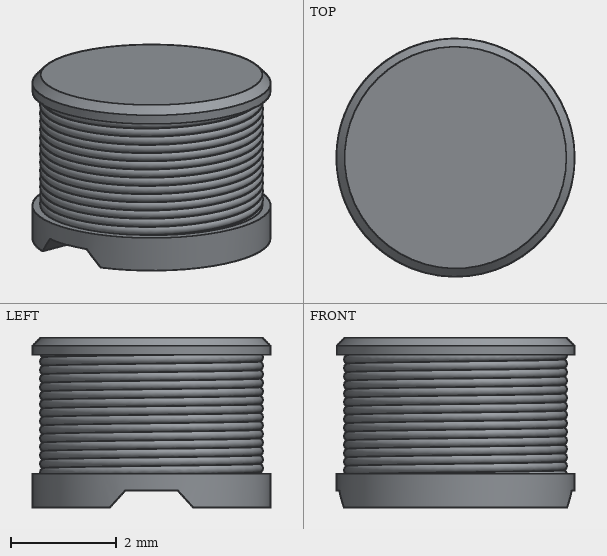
import cadquery as cq
import math

flange_diameter = 4.5
total_height = 3.21
base_height = 0.645
cap_height = 0.33
cap_chamfer = 0.158

notch_height = 0.32
notch_floor_width = 1.575
notch_roof_width = 0.99

winding_radius = 2.105
wire_radius = 0.09
exposed_turns = 13.9
winding_turns = 16
winding_sink = 0.18
core_burial = 0.292
core_clearance = 0.01
ridge_overlap = 0.022
groove_gap = 0.005

flange_radius = flange_diameter / 2
cap_bottom = total_height - cap_height
wire_centre_radius = winding_radius - wire_radius
winding_pitch = (cap_bottom - base_height) / exposed_turns
ridge_half_width = (winding_pitch - groove_gap) / 2
valley_radius = wire_centre_radius + math.sqrt(wire_radius**2 - ridge_half_width**2)
core_radius = valley_radius - core_clearance
ridge_root_radius = core_radius - ridge_overlap


def make_base():
    """Lower flange with a trapezoidal notch running through its underside along X."""
    base = cq.Workplane("XY").circle(flange_radius).extrude(base_height)
    half_floor = notch_floor_width / 2
    half_roof = notch_roof_width / 2
    notch = (
        cq.Workplane("YZ")
        .moveTo(-half_floor, 0)
        .lineTo(-half_roof, notch_height)
        .lineTo(half_roof, notch_height)
        .lineTo(half_floor, 0)
        .close()
        .extrude(flange_radius, both=True)
    )
    return base.cut(notch)


def make_cap():
    """Upper flange with a chamfered top rim."""
    cap = cq.Workplane("XY").workplane(offset=cap_bottom).circle(flange_radius).extrude(cap_height)
    return cap.faces(">Z").edges().chamfer(cap_chamfer)


def make_core():
    """Plain cylinder joining the flanges, its surface showing only in the valleys between turns."""
    return (
        cq.Workplane("XY")
        .workplane(offset=base_height - core_burial)
        .circle(core_radius)
        .extrude(cap_bottom - base_height + 2 * core_burial)
    )


def make_winding():
    """Right-handed helical ridge: the exposed part of one round wire, ends buried in the flanges."""
    start_height = base_height - winding_sink
    helix = cq.Wire.makeHelix(
        pitch=winding_pitch,
        height=winding_turns * winding_pitch,
        radius=wire_centre_radius,
        center=cq.Vector(0, 0, start_height),
    )
    ridge = (
        cq.Workplane("XZ")
        .moveTo(ridge_root_radius, start_height + ridge_half_width)
        .lineTo(valley_radius, start_height + ridge_half_width)
        .threePointArc(
            (winding_radius, start_height),
            (valley_radius, start_height - ridge_half_width),
        )
        .lineTo(ridge_root_radius, start_height - ridge_half_width)
        .close()
    )
    return ridge.sweep(cq.Workplane(helix), isFrenet=True)


wound_core = make_core().union(make_winding())
result = wound_core.union(make_base()).union(make_cap()).solids()